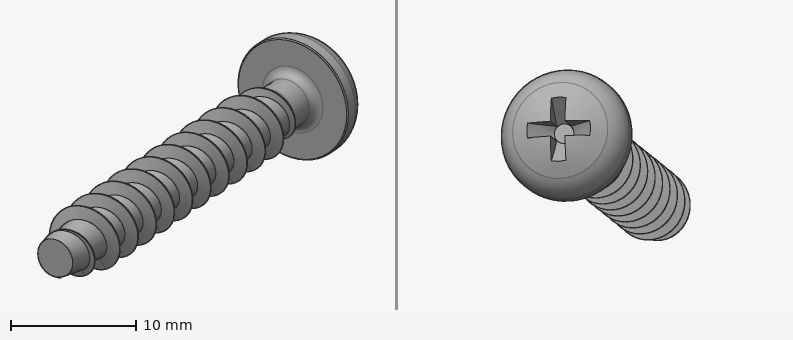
import cadquery as cq
import math


HEAD_RADIUS = 10.5 / 2
HEAD_HEIGHT = 3.93
RIM_HEIGHT = 1.1
RIM_CHAMFER = 0.1
DOME_EDGE_RADIUS = 3.9
DOME_EDGE_HEIGHT = 2.95
SHOULDER_MID_RADIUS = 4.75
SHOULDER_MID_HEIGHT = 2.25

RECESS_SLOT_WIDTH = 1.2
RECESS_RADIUS = 3.0
RECESS_BOTTOM_RADIUS = 0.8
RECESS_DEPTH = 2.4

SHANK_LENGTH = 35.0
COLLAR_RADIUS = 2.08
COLLAR_END = 3.0
NECK_FILLET = 0.8
NECKDOWN_LENGTH = 1.5
CORE_RADIUS = 1.66
CORE_END = 5.8
FILLER_RADIUS = 1.4
FILLER_EXCESS = 3.0

PITCH = 2.687
FIRST_CREST = 3.35
CREST_HALF_WIDTH = 0.05
FLANK_SLOPE = math.tan(math.radians(14))
VALLEY_RADIUS = 1.68
RIDGE_RADIUS = 1.95
BORE_RADIUS = 1.0
CREST_RADIUS = 3.0
THREAD_HEIGHT = CREST_RADIUS - RIDGE_RADIUS
THREAD_START_HEIGHT = 0.35
THREAD_END_HEIGHT = 0.02
THREAD_TURNS = 13
THREAD_START = 2.9
RUN_IN_END = THREAD_START + PITCH
RUN_OUT_START = 31.1
RUN_OUT_END = RUN_OUT_START + PITCH

TIP_RIDGE_RADIUS = 1.6
TIP_VALLEY_RADIUS = 1.5
TIP_VALLEY_STATION = SHANK_LENGTH + 0.6

POINTS_PER_TURN = 24


def radius_from_drop(drop, half_chord):
    """Radius of an arc that falls away from its apex by drop over half_chord."""
    return (half_chord ** 2 + drop ** 2) / (2 * drop)


def head():
    """Domed pan head."""
    dome_drop = HEAD_HEIGHT - DOME_EDGE_HEIGHT
    dome_radius = radius_from_drop(dome_drop, DOME_EDGE_RADIUS)
    mid_radius = DOME_EDGE_RADIUS / 2
    mid_height = HEAD_HEIGHT - dome_radius + math.sqrt(dome_radius ** 2 - mid_radius ** 2)
    return (
        cq.Workplane("XZ")
        .moveTo(0, 0)
        .lineTo(HEAD_RADIUS - RIM_CHAMFER, 0)
        .lineTo(HEAD_RADIUS, -RIM_CHAMFER)
        .lineTo(HEAD_RADIUS, -RIM_HEIGHT)
        .threePointArc((SHOULDER_MID_RADIUS, -SHOULDER_MID_HEIGHT),
                       (DOME_EDGE_RADIUS, -DOME_EDGE_HEIGHT))
        .threePointArc((mid_radius, -mid_height), (0, -HEAD_HEIGHT))
        .close()
        .revolve(360, (0, 0, 0), (0, 1, 0))
    )


def cross_recess():
    """Cross-shaped cutter whose arms taper inwards with depth."""
    top = cq.Workplane("XY", origin=(0, 0, -HEAD_HEIGHT))
    arm = top.rect(2 * RECESS_RADIUS, RECESS_SLOT_WIDTH).extrude(RECESS_DEPTH)
    arms = arm.union(arm.rotate((0, 0, 0), (0, 0, 1), 90))
    cone = (
        top.circle(RECESS_RADIUS)
        .workplane(offset=RECESS_DEPTH)
        .circle(RECESS_BOTTOM_RADIUS)
        .loft(ruled=True)
    )
    return arms.intersect(cone)


def shank():
    """Filleted neck, collar, taper to the core, and the filler inside the sleeve."""
    return (
        cq.Workplane("XZ")
        .moveTo(0, -RIM_HEIGHT)
        .lineTo(COLLAR_RADIUS + NECK_FILLET, -RIM_HEIGHT)
        .lineTo(COLLAR_RADIUS + NECK_FILLET, 0)
        .radiusArc((COLLAR_RADIUS, NECK_FILLET), NECK_FILLET)
        .lineTo(COLLAR_RADIUS, COLLAR_END)
        .lineTo(CORE_RADIUS, COLLAR_END + NECKDOWN_LENGTH)
        .lineTo(CORE_RADIUS, CORE_END)
        .lineTo(FILLER_RADIUS, CORE_END)
        .lineTo(FILLER_RADIUS, SHANK_LENGTH + FILLER_EXCESS)
        .lineTo(0, SHANK_LENGTH + FILLER_EXCESS)
        .close()
        .revolve(360, (0, 0, 0), (0, 1, 0))
    )


def ramp(station, start, end, start_value, end_value):
    """Value that changes linearly between two stations and is constant outside them."""
    fraction = min(max((station - start) / (end - start), 0), 1)
    return start_value + (end_value - start_value) * fraction


def thread_height(station):
    """Height of the crest above the ridge, fading in below the collar and out at the tip."""
    if station < RUN_IN_END:
        return ramp(station, THREAD_START, RUN_IN_END, THREAD_START_HEIGHT, THREAD_HEIGHT)
    return ramp(station, RUN_OUT_START, RUN_OUT_END, THREAD_HEIGHT, THREAD_END_HEIGHT)


def thread_section(station):
    """(axial offset, radius) of the bore, valley, two crest corners and ridge."""
    valley = ramp(station, RUN_OUT_END, TIP_VALLEY_STATION, VALLEY_RADIUS, TIP_VALLEY_RADIUS)
    ridge = ramp(station, RUN_OUT_END, SHANK_LENGTH, RIDGE_RADIUS, TIP_RIDGE_RADIUS)
    crest = ridge + thread_height(station)
    headward_width = CREST_HALF_WIDTH + (crest - valley) * FLANK_SLOPE
    tipward_width = CREST_HALF_WIDTH + (crest - ridge) * FLANK_SLOPE
    return [
        (-headward_width, BORE_RADIUS),
        (-headward_width, valley),
        (-CREST_HALF_WIDTH, crest),
        (CREST_HALF_WIDTH, crest),
        (tipward_width, ridge),
    ]


def helix_point(station, offset, radius):
    """Point at the given radius, offset along the axis from the crest helix."""
    angle = 2 * math.pi * (station - FIRST_CREST) / PITCH
    return cq.Vector(radius * math.cos(angle), radius * math.sin(angle), station + offset)


def section_points(station):
    return [helix_point(station, *corner) for corner in thread_section(station)]


def thread_rails(turn):
    """One helical edge per section corner, over one turn."""
    start = THREAD_START + turn * PITCH
    step = PITCH / POINTS_PER_TURN
    sections = [section_points(start + i * step) for i in range(POINTS_PER_TURN + 1)]
    return [cq.Edge.makeSpline(list(points)) for points in zip(*sections)]


def end_cap(station):
    """Flat face across one pitch of the sleeve wall, in a plane through the axis."""
    next_bore, next_valley = section_points(station + PITCH)[:2]
    outline = section_points(station) + [next_valley, next_bore]
    return cq.Face.makeFromWires(cq.Wire.makePolygon(outline, close=True))


def threaded_sleeve():
    """Hollow sleeve whose skin is the thread and the sloping core between its turns."""
    ruled = cq.Face.makeRuledSurface
    rails = [thread_rails(i) for i in range(THREAD_TURNS + 1)]
    faces = []
    for here, next_turn in zip(rails, rails[1:]):
        bore, valley, crest_head, crest_tip, ridge = here
        next_bore, next_valley = next_turn[:2]
        faces.append(ruled(valley, crest_head))
        faces.append(ruled(crest_head, crest_tip))
        faces.append(ruled(crest_tip, ridge))
        faces.append(ruled(ridge, next_valley))
        faces.append(ruled(bore, next_bore))
    for bore, valley, *_ in (rails[0], rails[-1]):
        faces.append(ruled(bore, valley))
    faces.append(end_cap(THREAD_START))
    faces.append(end_cap(THREAD_START + THREAD_TURNS * PITCH))
    return cq.Workplane(cq.Solid.makeSolid(cq.Shell.makeShell(faces)).fix())


def beyond_tip():
    """Block that removes everything past the flat tip."""
    return (
        cq.Workplane("XY", origin=(0, 0, SHANK_LENGTH))
        .circle(HEAD_RADIUS)
        .extrude(THREAD_TURNS * PITCH)
    )


screw = shank().union(threaded_sleeve()).cut(beyond_tip())
screw = screw.union(head()).cut(cross_recess())

result = screw.rotate((0, 0, 0), (1, 0, 0), 90)